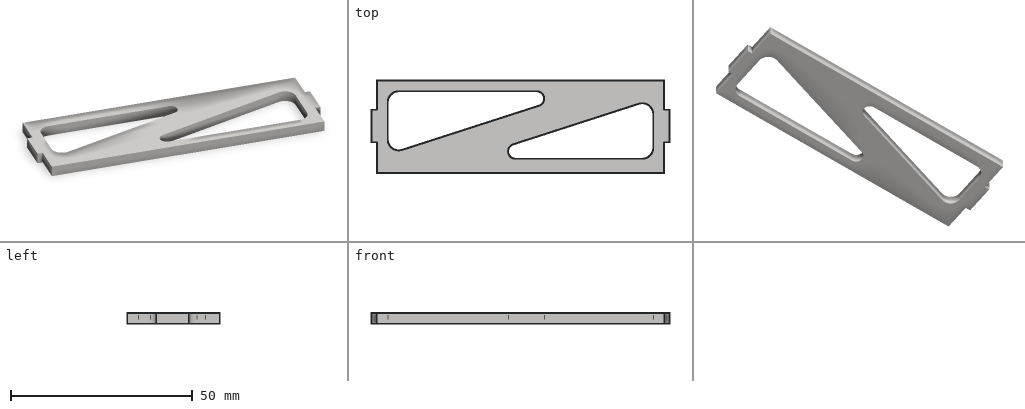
import cadquery as cq

PLATE_LENGTH = 79.0
PLATE_WIDTH = 25.5
THICKNESS = 3.0

OVERALL_LENGTH = 82.0
TAB_WIDTH = 9.0
TAB_TO_BACK_EDGE = 8.0

END_RAIL = 3.0
BACK_RAIL = 3.0
FRONT_RAIL = 4.0
STRUT_WIDTH = 8.0
CORNER_RADIUS = 3.0
TIP_RADIUS = 2.0

STRUT_SLOPE = PLATE_WIDTH / PLATE_LENGTH
STRUT_HALF_HEIGHT = STRUT_WIDTH / 2 * (1 + STRUT_SLOPE**2) ** 0.5


def make_plate():
    """Rectangular plate centred on X and Y, resting on Z = 0."""
    return cq.Workplane("XY").box(PLATE_LENGTH, PLATE_WIDTH, THICKNESS, centered=(True, True, False))


def make_tabs():
    """Full-length bar whose ends stick out of the plate as two tabs."""
    tab_center_y = PLATE_WIDTH / 2 - TAB_TO_BACK_EDGE - TAB_WIDTH / 2
    return (
        cq.Workplane("XY")
        .center(0, tab_center_y)
        .box(OVERALL_LENGTH, TAB_WIDTH, THICKNESS, centered=(True, True, False))
    )


def make_window(side, rail):
    """Rounded triangular cutter.

    side is -1 for the window at the -X end and back edge, and +1 for the one
    at the +X end and front edge; rail is the width left along that long edge.
    """
    end_x = side * (PLATE_LENGTH / 2 - END_RAIL)
    edge_y = -side * (PLATE_WIDTH / 2 - rail)
    strut_offset = -side * STRUT_HALF_HEIGHT
    strut_y_at_end = STRUT_SLOPE * end_x + strut_offset
    tip_x = (edge_y - strut_offset) / STRUT_SLOPE

    corners = [(end_x, edge_y), (end_x, strut_y_at_end), (tip_x, edge_y)]
    tip_selector = "<X" if side > 0 else ">X"
    end_selector = ">X" if side > 0 else "<X"
    return (
        cq.Workplane("XY")
        .polyline(corners)
        .close()
        .extrude(THICKNESS)
        .edges("|Z")
        .edges(tip_selector)
        .fillet(TIP_RADIUS)
        .faces(end_selector)
        .edges("|Z")
        .fillet(CORNER_RADIUS)
    )


result = make_plate().union(make_tabs())
for window_side, window_rail in ((-1, BACK_RAIL), (1, FRONT_RAIL)):
    result = result.cut(make_window(window_side, window_rail))